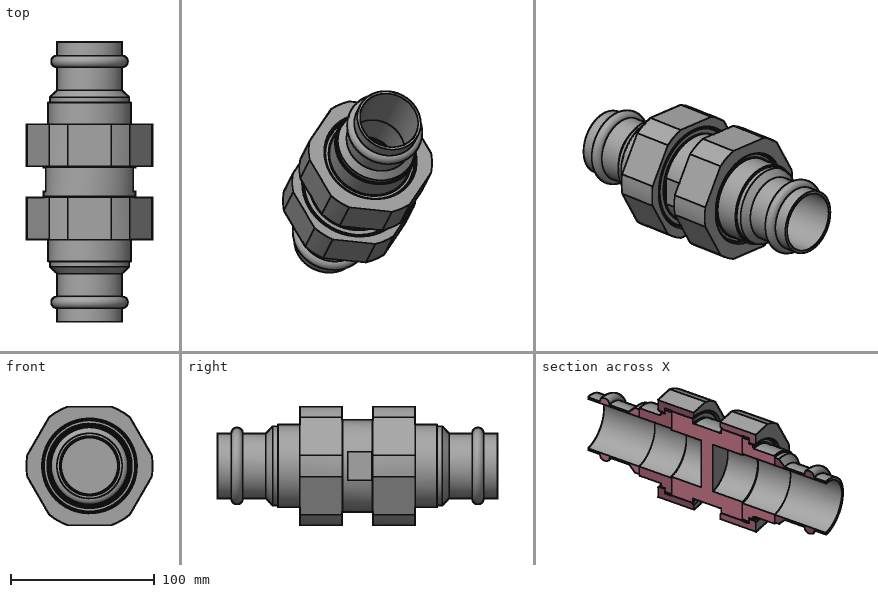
import cadquery as cq

overall_length = 195.2
bore_diameter = 41.5

nut_across_flats = 82.7
nut_corner_diameter = 88.2
nut_inner_y = 10.7
nut_outer_y = 40.2
nut_lip_thickness = 5.9
nut_lip_diameter = 64.5
nut_lip_chamfer = 1.0
nut_thread_chamfer = 1.2
thread_diameter = 72.2

barrel_diameter = 64.5
barrel_half_length = 10.1
relief_diameter = 64.0
thread_start_y = 11.5
thread_end_chamfer = 0.8
body_end_y = 29.3
body_bore_diameter = 39.5
web_thickness = 9.8
flat_spacing = 61.3
flat_start_y = -6.6
flat_end_y = 9.8

sleeve_diameter = 58.0
sleeve_end_y = 55.6
sleeve_end_chamfer = 0.4
sleeve_flange_diameter = 69.9
sleeve_boss_diameter = 63.5
sleeve_boss_end_y = 37.9
sleeve_collar_diameter = 59.1
sleeve_collar_end_y = 38.5

shoulder_diameter = 55.5
shoulder_end_y = 59.1
cone_end_y = 63.8
tube_diameter = 45.5
bead_y = 84.0
bead_half_width = 4.1
bead_diameter = 53.7

tube_end_y = overall_length / 2
bore_radius = bore_diameter / 2
tube_radius = tube_diameter / 2
lip_inner_y = nut_outer_y - nut_lip_thickness


def revolve_about_y(profile):
    """Turn a closed (radius, Y) profile once around the Y axis."""
    return profile.close().revolve(360, (0, 0, 0), (0, 1, 0))


def mirrored_pair(body):
    """Return the +Y solid and its mirror image on the -Y side."""
    return [body.val(), body.mirror("XZ").val()]


def make_nut():
    """Hexagonal union nut with turned-down corners, a threaded bore and a retaining lip."""
    length = nut_outer_y - nut_inner_y
    blank = cq.Workplane("XZ", origin=(0, nut_outer_y, 0))
    hexagon = blank.polygon(6, nut_across_flats, circumscribed=True).extrude(length)
    hexagon = hexagon.rotate((0, 0, 0), (0, 1, 0), 30)
    corners = blank.circle(nut_corner_diameter / 2).extrude(length)

    thread_radius = thread_diameter / 2
    lip_radius = nut_lip_diameter / 2
    opening = revolve_about_y(
        cq.Workplane("XY")
        .moveTo(0, nut_inner_y)
        .lineTo(thread_radius + nut_thread_chamfer, nut_inner_y)
        .lineTo(thread_radius, nut_inner_y + nut_thread_chamfer)
        .lineTo(thread_radius, lip_inner_y)
        .lineTo(lip_radius, lip_inner_y)
        .lineTo(lip_radius, nut_outer_y - nut_lip_chamfer)
        .lineTo(lip_radius + nut_lip_chamfer, nut_outer_y)
        .lineTo(0, nut_outer_y)
    )
    return hexagon.intersect(corners).cut(opening)


def make_sleeve():
    """Stepped sleeve whose flange is held between the nut lip and the centre body."""
    return revolve_about_y(
        cq.Workplane("XY")
        .moveTo(bore_radius, body_end_y)
        .lineTo(sleeve_flange_diameter / 2, body_end_y)
        .lineTo(sleeve_flange_diameter / 2, lip_inner_y)
        .lineTo(sleeve_boss_diameter / 2, lip_inner_y)
        .lineTo(sleeve_boss_diameter / 2, sleeve_boss_end_y)
        .lineTo(sleeve_collar_diameter / 2, sleeve_boss_end_y)
        .lineTo(sleeve_collar_diameter / 2, sleeve_collar_end_y)
        .lineTo(sleeve_diameter / 2, sleeve_collar_end_y)
        .lineTo(sleeve_diameter / 2, sleeve_end_y - sleeve_end_chamfer)
        .lineTo(sleeve_diameter / 2 - sleeve_end_chamfer, sleeve_end_y)
        .lineTo(bore_radius, sleeve_end_y)
    )


def make_press_end():
    """Tube with a rounded bead, widening through a cone to a shoulder against the sleeve."""
    return revolve_about_y(
        cq.Workplane("XY")
        .moveTo(bore_radius, sleeve_end_y)
        .lineTo(shoulder_diameter / 2, sleeve_end_y)
        .lineTo(shoulder_diameter / 2, shoulder_end_y)
        .lineTo(tube_radius, cone_end_y)
        .lineTo(tube_radius, bead_y - bead_half_width)
        .threePointArc((bead_diameter / 2, bead_y), (tube_radius, bead_y + bead_half_width))
        .lineTo(tube_radius, tube_end_y)
        .lineTo(bore_radius, tube_end_y)
    )


def make_threaded_stub():
    """Threaded +Y end of the centre body, joined to the barrel by a narrow relief."""
    thread_radius = thread_diameter / 2
    return revolve_about_y(
        cq.Workplane("XY")
        .moveTo(0, barrel_half_length)
        .lineTo(relief_diameter / 2, barrel_half_length)
        .lineTo(relief_diameter / 2, thread_start_y)
        .lineTo(thread_radius - thread_end_chamfer, thread_start_y)
        .lineTo(thread_radius, thread_start_y + thread_end_chamfer)
        .lineTo(thread_radius, body_end_y)
        .lineTo(0, body_end_y)
    )


def make_body():
    """Barrel with two side flats, a threaded stub at each end and a web closing the bore."""
    barrel = (
        cq.Workplane("XZ")
        .circle(barrel_diameter / 2)
        .extrude(barrel_half_length, both=True)
    )
    flat_depth = (barrel_diameter - flat_spacing) / 2
    for side in (-1, 1):
        flat_cutter = cq.Workplane("XY").box(
            flat_depth, flat_end_y - flat_start_y, barrel_diameter
        )
        flat_x = side * (flat_spacing + flat_depth) / 2
        barrel = barrel.cut(flat_cutter.translate((flat_x, (flat_start_y + flat_end_y) / 2, 0)))

    bore = (
        cq.Workplane("XZ", origin=(0, body_end_y, 0))
        .circle(body_bore_diameter / 2)
        .extrude(body_end_y - web_thickness / 2)
    )
    body = barrel
    for stub in mirrored_pair(make_threaded_stub()):
        body = body.union(cq.Workplane(stub))
    for blind_bore in mirrored_pair(bore):
        body = body.cut(cq.Workplane(blind_bore))
    return body


body = make_body()
nuts = mirrored_pair(make_nut())
sleeves = mirrored_pair(make_sleeve())
press_ends = mirrored_pair(make_press_end())

result = cq.Compound.makeCompound([body.val(), *nuts, *sleeves, *press_ends])